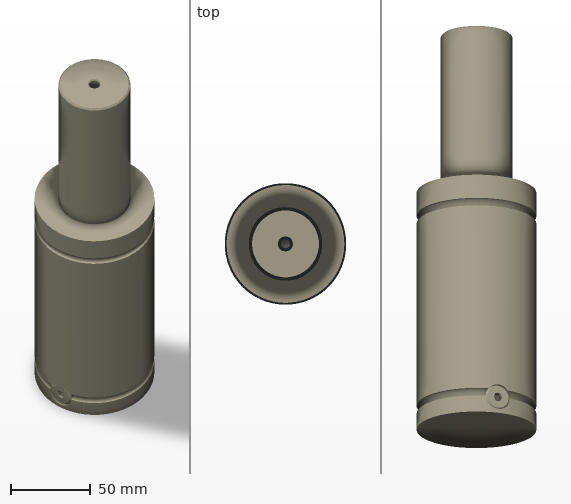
import cadquery as cq
import math

TOTAL_HEIGHT = 259.0
BODY_DIAMETER = 75.0
BODY_HEIGHT = 156.0
ROD_DIAMETER = 45.0
ROD_CHAMFER = 1.0

GROOVE_WIDTH = 5.0
LOWER_GROOVE_BOTTOM = 10.5
UPPER_GROOVE_BOTTOM = 135.7

ROD_HOLE_DIAMETER = 6.7
ROD_HOLE_MOUTH_DIAMETER = 8.3
ROD_HOLE_DEPTH = 15.5
DRILL_POINT_ANGLE = 118.0

PLUG_DIAMETER = 16.0
PLUG_FACE_DIAMETER = 14.0
PLUG_HEIGHT = LOWER_GROOVE_BOTTOM
PLUG_FACE_RADIUS = 36.8
PLUG_LENGTH = 7.8
SOCKET_ACROSS_FLATS = 5.2
SOCKET_TURN = 30.0
SOCKET_DEPTH = 4.0

BODY_RADIUS = BODY_DIAMETER / 2


def groove_cutter(bottom):
    """Ring of circular section, centred on the body surface."""
    return (
        cq.Workplane("XZ")
        .center(BODY_RADIUS, bottom + GROOVE_WIDTH / 2)
        .circle(GROOVE_WIDTH / 2)
        .revolve(360, (-BODY_RADIUS, 0), (-BODY_RADIUS, 1))
    )


def rod_hole_cutter():
    """Drilled hole with a 45 degree mouth and a conical end."""
    hole_radius = ROD_HOLE_DIAMETER / 2
    mouth_radius = ROD_HOLE_MOUTH_DIAMETER / 2
    mouth_depth = mouth_radius - hole_radius
    point_length = hole_radius / math.tan(math.radians(DRILL_POINT_ANGLE / 2))
    floor = TOTAL_HEIGHT - ROD_HOLE_DEPTH
    return (
        cq.Workplane("XZ")
        .moveTo(0, TOTAL_HEIGHT)
        .lineTo(mouth_radius, TOTAL_HEIGHT)
        .lineTo(hole_radius, TOTAL_HEIGHT - mouth_depth)
        .lineTo(hole_radius, floor)
        .lineTo(0, floor - point_length)
        .close()
        .revolve(360, (0, 0), (0, 1))
    )


def disc_toward_front(diameter, inner_radius, length):
    """Cylinder along -Y at plug height, starting inner_radius from the body axis."""
    return (
        cq.Workplane("XZ", origin=(0, -inner_radius, PLUG_HEIGHT))
        .circle(diameter / 2)
        .extrude(length)
    )


body = cq.Workplane("XY").circle(BODY_RADIUS).extrude(BODY_HEIGHT)
rod = (
    cq.Workplane("XY", origin=(0, 0, BODY_HEIGHT))
    .circle(ROD_DIAMETER / 2)
    .extrude(TOTAL_HEIGHT - BODY_HEIGHT)
    .faces(">Z")
    .chamfer(ROD_CHAMFER)
)
result = body.union(rod).cut(rod_hole_cutter())

for groove_bottom in (LOWER_GROOVE_BOTTOM, UPPER_GROOVE_BOTTOM):
    result = result.cut(groove_cutter(groove_bottom))

plug_inner_radius = PLUG_FACE_RADIUS - PLUG_LENGTH
plug = disc_toward_front(PLUG_DIAMETER, plug_inner_radius, PLUG_LENGTH)
plug = plug.faces("<Y").chamfer((PLUG_DIAMETER - PLUG_FACE_DIAMETER) / 2)
socket = (
    cq.Workplane("XZ", origin=(0, SOCKET_DEPTH - PLUG_FACE_RADIUS, PLUG_HEIGHT))
    .transformed(rotate=(0, 0, SOCKET_TURN))
    .polygon(6, SOCKET_ACROSS_FLATS, circumscribed=True)
    .extrude(SOCKET_DEPTH)
)
pocket = disc_toward_front(PLUG_DIAMETER, plug_inner_radius, BODY_RADIUS - plug_inner_radius)
result = result.cut(pocket).union(plug).cut(socket)